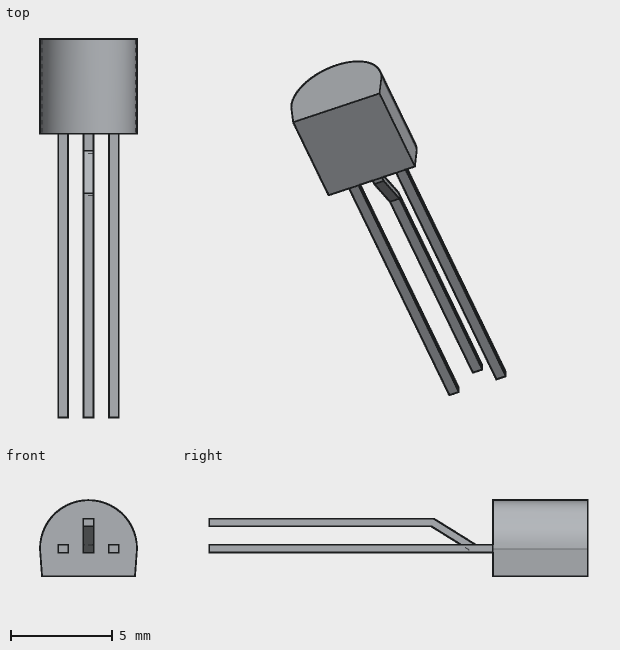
import cadquery as cq
import math


housing_width = 4.8
housing_radius = housing_width / 2
housing_length = 4.7
housing_height = 3.78
flat_width = 4.6

overall_length = 18.7
lead_length = overall_length - housing_length
lead_width = 0.5
lead_thickness = 0.4
lead_pitch = 1.25

bend_start = 0.85
bend_end = 2.92
bend_rise = 1.29


def make_housing():
    """Half-round housing whose lower sides taper in to the flat."""
    flat_z = housing_radius - housing_height
    return (
        cq.Workplane("XZ")
        .moveTo(-housing_radius, 0)
        .threePointArc((0, housing_radius), (housing_radius, 0))
        .lineTo(flat_width / 2, flat_z)
        .lineTo(-flat_width / 2, flat_z)
        .close()
        .extrude(-housing_length)
    )


def make_bent_lead():
    """Middle lead: straight, sloping up, then straight, with mitred bends."""
    top = lead_thickness / 2
    bottom = -top
    slope_angle = math.atan2(bend_rise, bend_end - bend_start)
    mitre_shift = lead_thickness * math.tan(slope_angle / 2)
    return (
        cq.Workplane("YZ")
        .polyline([
            (0, top),
            (-bend_start, top),
            (-bend_end, top + bend_rise),
            (-lead_length, top + bend_rise),
            (-lead_length, bottom + bend_rise),
            (-bend_end - mitre_shift, bottom + bend_rise),
            (-bend_start - mitre_shift, bottom),
            (0, bottom),
        ])
        .close()
        .extrude(lead_width / 2, both=True)
    )


def make_straight_lead(x):
    """Outer lead at position x, butted against the lead face."""
    return (
        cq.Workplane("XZ")
        .center(x, 0)
        .rect(lead_width, lead_thickness)
        .extrude(lead_length)
    )


housing = make_housing().union(make_bent_lead()).solids()

straight_leads = []
for side in (-1, 1):
    straight_leads.append(make_straight_lead(side * lead_pitch).val())

result = cq.Compound.makeCompound([housing.val(), *straight_leads])